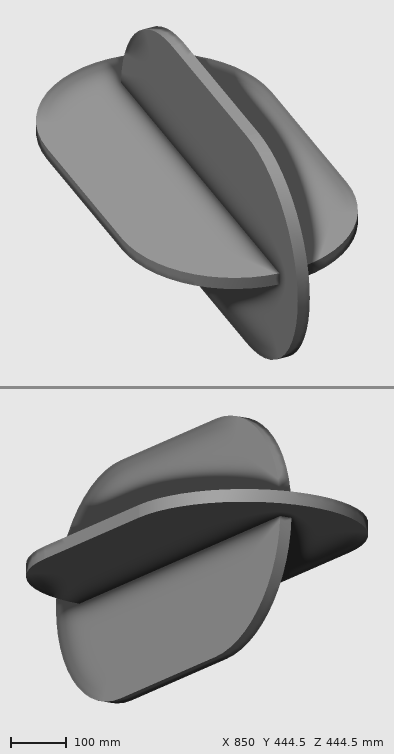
import cadquery as cq

overall_length = 850.0
panel_length = 770.0
panel_width = 444.5
panel_thickness = 24.0

panel_offset = (overall_length - panel_length) / 2
slot_length = overall_length / 2


def panel_blank(plane):
    """Stadium-shaped panel, centred through its thickness on the given plane."""
    return cq.Workplane(plane).slot2D(panel_length, panel_width).extrude(panel_thickness / 2, both=True)


def slot_cutter(direction):
    """Square bar along the X axis, from the middle out to one end of the assembly."""
    return (
        cq.Workplane("XY")
        .box(slot_length, panel_thickness, panel_thickness)
        .translate((direction * slot_length / 2, 0, 0))
    )


def make_horizontal_panel():
    """Level panel, set toward -X, with its slot open at the +X end."""
    return panel_blank("XY").translate((-panel_offset, 0, 0)).cut(slot_cutter(1))


def make_upright_panel():
    """Upright panel, set toward +X, with its slot open at the -X end."""
    return panel_blank("XZ").translate((panel_offset, 0, 0)).cut(slot_cutter(-1))


horizontal_panel = make_horizontal_panel()
upright_panel = make_upright_panel()

result = cq.Compound.makeCompound([horizontal_panel.val(), upright_panel.val()])